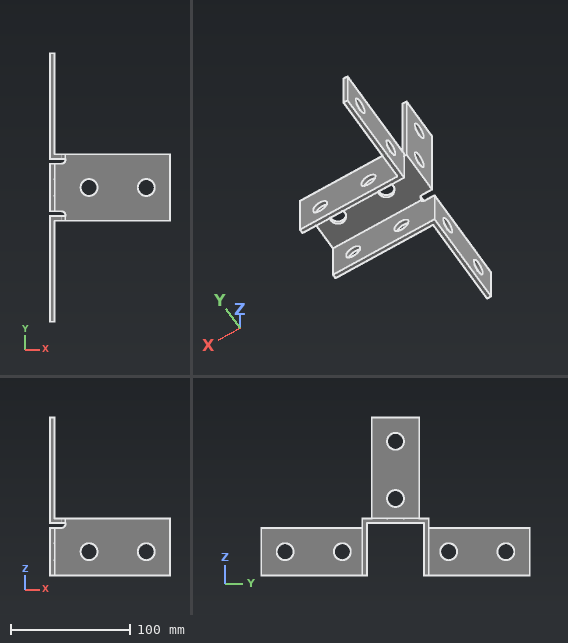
import cadquery as cq

length = 101.0
span = 225.3
height = 132.7

thickness = 4.0
flange_width = 40.0
flange_length = 88.8

notch_depth = 13.0
notch_radius = 3.4

hole_diameter = 14.0
hole_pitch = 48.0
hole_end_distance = flange_width / 2

channel_half_width = span / 2 - flange_length + thickness
channel_height = height - flange_length + thickness


def make_box(x_range, y_range, z_range):
    """Box spanning the given (low, high) limits along each axis."""
    lows, highs = zip(x_range, y_range, z_range)
    sizes = [high - low for low, high in zip(lows, highs)]
    return cq.Workplane("XY").box(*sizes, centered=False).translate(lows)


def hole_positions(free_end):
    """Coordinates of a hole pair, given the free end of the strip."""
    outer = free_end - hole_end_distance
    return [outer - hole_pitch, outer]


def drill(body, point, direction):
    """Cut one hole through everything along the given direction."""
    cutter = cq.Solid.makeCylinder(
        hole_diameter / 2, span, cq.Vector(*point), cq.Vector(*direction)
    )
    return body.cut(cq.Workplane(obj=cutter))


def make_channel():
    """Inverted U of sheet metal running along X."""
    inner_half_width = channel_half_width - thickness
    outside = make_box(
        (0, length), (-channel_half_width, channel_half_width), (0, channel_height)
    )
    inside = make_box(
        (0, length), (-inner_half_width, inner_half_width), (0, channel_height - thickness)
    )
    return outside.cut(inside)


def make_notch(side):
    """Corner relief through the top and one wall, with its inner corners rounded."""
    y_tab = side * flange_width / 2
    y_outer = side * channel_half_width
    top_cut = make_box(
        (0, notch_depth),
        sorted((y_tab, y_outer)),
        (channel_height - thickness, channel_height),
    )
    top_corner = cq.selectors.NearestToPointSelector(
        (notch_depth, y_tab, channel_height - thickness / 2)
    )
    top_cut = top_cut.edges(top_corner).fillet(notch_radius)

    y_inner = y_outer - side * thickness
    wall_cut = make_box(
        (0, notch_depth), sorted((y_inner, y_outer)), (flange_width, channel_height)
    )
    wall_corner = cq.selectors.NearestToPointSelector(
        (notch_depth, y_outer - side * thickness / 2, flange_width)
    )
    wall_cut = wall_cut.edges(wall_corner).fillet(notch_radius)
    return top_cut.union(wall_cut)


result = make_channel()
for side in (-1, 1):
    result = result.cut(make_notch(side))

sheet = (0, thickness)
upright = make_box(
    sheet, (-flange_width / 2, flange_width / 2), (height - flange_length, height)
)
result = result.union(upright)
for side in (-1, 1):
    y_end = side * span / 2
    y_fold = y_end - side * flange_length
    result = result.union(make_box(sheet, sorted((y_fold, y_end)), (0, flange_width)))

for x in hole_positions(length):
    result = drill(result, (x, 0, 0), (0, 0, 1))
    result = drill(result, (x, -span / 2, flange_width / 2), (0, 1, 0))

for z in hole_positions(height):
    result = drill(result, (0, 0, z), (1, 0, 0))
for y in hole_positions(span / 2):
    for side in (-1, 1):
        result = drill(result, (0, side * y, flange_width / 2), (1, 0, 0))